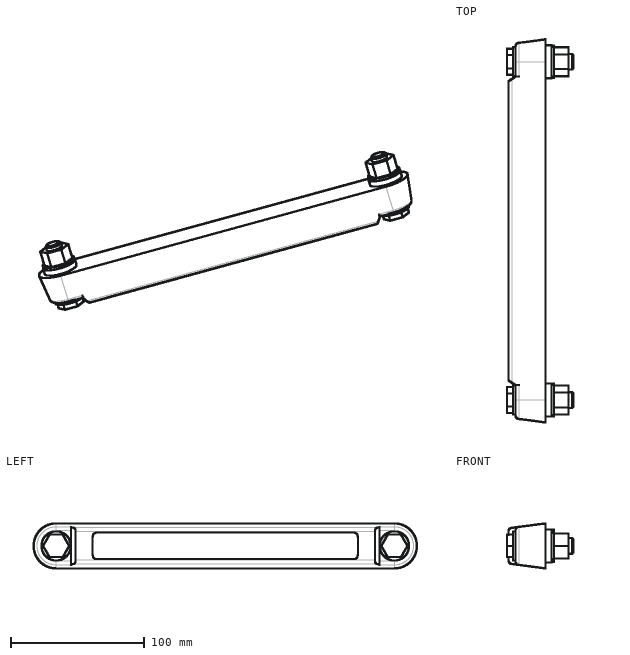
import cadquery as cq
import math


overall_length = 288.0
housing_width = 34.0
end_radius = housing_width / 2
bolt_spacing = overall_length - housing_width
draft_angle = 7.5
rim_fillet = 3.0
bar_depth = 28.0
pad_depth = 22.7

bar_root_inset = 11.2
bar_crown_inset = 14.7

window_length = 199.0
window_width = 20.0
window_corner_radius = 3.0
window_depth = 3.0

HEX_SIDES = 6

head_flats = 17.0
head_height = 4.5
head_washer_diameter = 22.0
head_washer_thickness = 1.8
head_washer_embed = 1.0

seal_diameter = 25.0
seal_thickness = 4.3
rear_washer_diameter = 24.5
rear_washer_thickness = 1.9
nut_flats = 19.0
nut_height = 11.2
stud_diameter = 12.0
stud_projection = 3.6
stud_chamfer = 1.2


def cylinder_along_x(diameter, length, x_start):
    return cq.Workplane("YZ", origin=(x_start, 0, 0)).circle(diameter / 2).extrude(length)


def hexagon_along_x(flats, length, x_start):
    """Hexagonal prism with two flats facing +Z and -Z."""
    corner_diameter = flats / math.cos(math.pi / HEX_SIDES)
    return cq.Workplane("YZ", origin=(x_start, 0, 0)).polygon(HEX_SIDES, corner_diameter).extrude(length)


def make_base():
    """Full-length drafted slot shape up to the level of the end pads."""
    return (
        cq.Workplane("YZ")
        .slot2D(overall_length, housing_width)
        .extrude(-pad_depth, taper=draft_angle)
        .faces("<X")
        .edges()
        .fillet(rim_fillet)
    )


def make_bar():
    """Raised drafted bar between the end pads, with sloped ends."""
    crown_half_width = end_radius - bar_depth * math.tan(math.radians(draft_angle))
    cross_section = [
        (0, -end_radius),
        (-bar_depth, -crown_half_width),
        (-bar_depth, crown_half_width),
        (0, end_radius),
    ]
    drafted_bar = (
        cq.Workplane("XZ")
        .polyline(cross_section)
        .close()
        .extrude(bolt_spacing / 2, both=True)
        .faces("<X")
        .edges("|Y")
        .fillet(rim_fillet)
    )

    root_y = bolt_spacing / 2 - bar_root_inset
    crown_y = bolt_spacing / 2 - bar_crown_inset
    side_outline = [
        (0, -root_y),
        (-pad_depth, -root_y),
        (-bar_depth, -crown_y),
        (-bar_depth, crown_y),
        (-pad_depth, root_y),
        (0, root_y),
    ]
    sloped_envelope = (
        cq.Workplane("XY").polyline(side_outline).close().extrude(end_radius, both=True)
    )
    return drafted_bar.intersect(sloped_envelope)


def make_window():
    """Rounded block that is cut from the bar face."""
    return (
        cq.Workplane("XY")
        .box(window_depth, window_length, window_width, centered=(False, True, True))
        .edges("|X")
        .fillet(window_corner_radius)
        .translate((-bar_depth, 0, 0))
    )


def make_bolt():
    """Bolt head, washers, seal, nut and stud end on one axis at Y = 0."""
    washer_front = -pad_depth - head_washer_thickness
    nut_start = seal_thickness + rear_washer_thickness
    nut_end = nut_start + nut_height
    stud = cylinder_along_x(stud_diameter, nut_end + stud_projection, 0)
    stud = stud.faces(">X").edges().chamfer(stud_chamfer)
    head_washer_length = head_washer_thickness + head_washer_embed
    return (
        hexagon_along_x(head_flats, head_height, washer_front - head_height)
        .union(cylinder_along_x(head_washer_diameter, head_washer_length, washer_front))
        .union(stud)
        .union(cylinder_along_x(seal_diameter, seal_thickness, 0))
        .union(cylinder_along_x(rear_washer_diameter, rear_washer_thickness, seal_thickness))
        .union(hexagon_along_x(nut_flats, nut_height, nut_start))
    )


result = make_base().union(make_bar()).cut(make_window())
for bolt_y in (-bolt_spacing / 2, bolt_spacing / 2):
    result = result.union(make_bolt().translate((0, bolt_y, 0)))